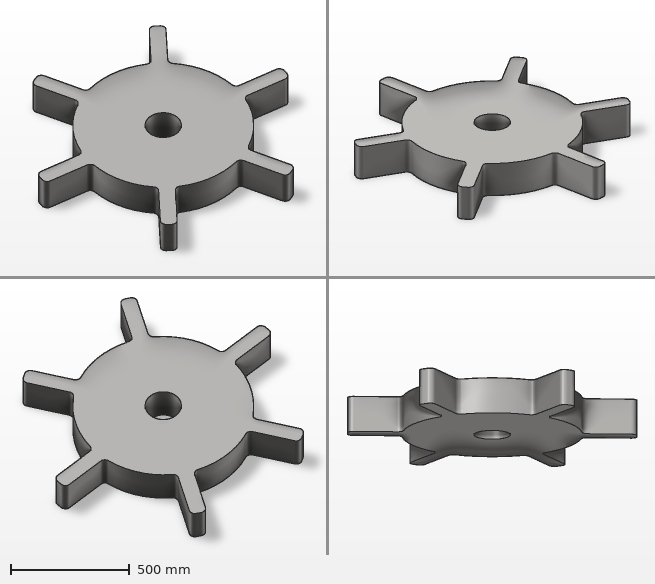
import cadquery as cq
import math

tip_diameter = 1219.0
hub_diameter = 762.0
bore_diameter = 152.0
thickness = 152.0
arm_count = 6
arm_width = 71.0
first_arm_angle = 90.0
tip_fillet = 24.0
root_fillet = 24.0

tip_radius = tip_diameter / 2
hub_radius = hub_diameter / 2
half_width = arm_width / 2

shoulder_radius = math.sqrt(tip_radius**2 - half_width**2)


def make_arm(angle):
    """Straight radial arm from the axis, with a rounded end concentric with the hub."""
    arm = (
        cq.Workplane("XY")
        .moveTo(0, -half_width)
        .lineTo(shoulder_radius, -half_width)
        .threePointArc((tip_radius, 0), (shoulder_radius, half_width))
        .lineTo(0, half_width)
        .close()
        .extrude(thickness)
    )
    arm = arm.edges("|Z").edges(">X").fillet(tip_fillet)
    return arm.rotate((0, 0, 0), (0, 0, 1), angle)


wheel = cq.Workplane("XY").circle(hub_radius).extrude(thickness)
for index in range(arm_count):
    wheel = wheel.union(make_arm(first_arm_angle + index * 360 / arm_count))

root_zone = cq.selectors.BoxSelector(
    (-hub_radius, -hub_radius, 0),
    (hub_radius, hub_radius, thickness),
)
wheel = wheel.edges("|Z").edges(root_zone).fillet(root_fillet)

bore = cq.Workplane("XY").circle(bore_diameter / 2).extrude(thickness)
result = wheel.cut(bore)